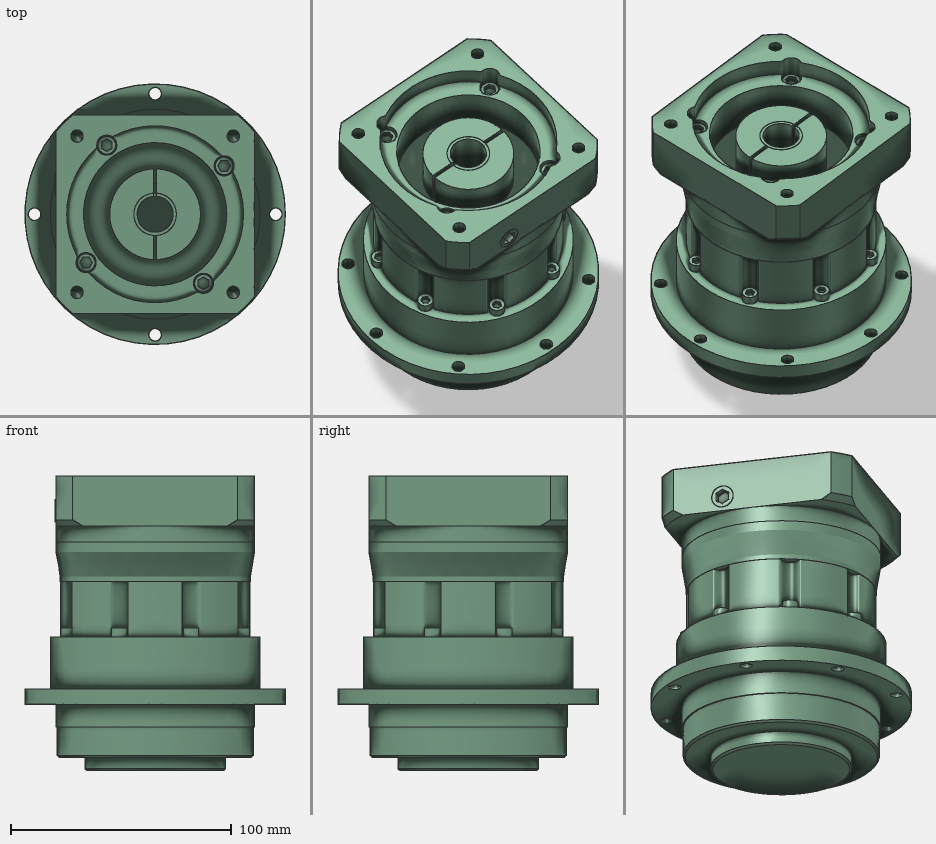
import cadquery as cq
import math

HUB_RADIUS = 31.9
HUB_HEIGHT = 6.0
NOSE_RADIUS = 44.5
NOSE_TOP = 19.8
EDGE_CHAMFER = 1.0
BODY_RADIUS = 45.0
FLANGE_RADIUS = 59.0
FLANGE_BOTTOM = 30.0
FLANGE_TOP = 37.0
FLANGE_HOLE_COUNT = 8
FLANGE_HOLE_PITCH_RADIUS = 54.6
MOUNTING_HOLE_RADIUS = 2.8

RING_RADIUS = 47.5
RING_TOP = 60.6
WAIST_RADIUS = 43.0
WAIST_TOP = 85.7
NECK_RADIUS = 43.1
NECK_TOP = 87.7
CONE_TOP = 98.9
JOINT_Z = 103.5

BOLT_COUNT = 8
BOLT_PITCH_RADIUS = 42.5
BOLT_HEAD_RADIUS = 3.5
BOLT_HEAD_HEIGHT = 4.0
BOLT_HEX_FLATS = 3.6
BOLT_HEX_DEPTH = 2.0
GROOVE_RADIUS = 4.0
GROOVE_LIP_RADIUS = 1.1

POCKET_RADIUS = 32.5
POCKET_FLOOR = 106.3
COLLAR_RADIUS = 20.5
COLLAR_TOP = 124.0
SHAFT_RADIUS = 14.0
SHAFT_SLOT_FLOOR = 108.1
SLOT_WIDTH = 1.5
BUSHING_RADIUS = 9.6
BUSHING_PROUD = 0.1
BORE_RADIUS = 8.1
BORE_DEPTH = 40.0

TOP_Z = 133.5
PLATE_BOTTOM = 110.8
CORNER_RADIUS = 58.5
CORNER_CHAMFER = 2.8
PILOT_RADIUS = 40.0
PILOT_DEPTH = 8.0
MOTOR_HOLE_COUNT = 4
FIRST_CORNER_ANGLE = 45.0
MOTOR_HOLE_OFFSET = 35.4
MOTOR_HOLE_DEPTH = 18.0
DRILL_POINT_ANGLE = 118.0
PLUG_Y = 14.0
PLUG_Z = 117.6
PLUG_RADIUS = 5.1
PLUG_PROUD = 0.3
PLUG_HEX_FLATS = 6.0
PLUG_HEX_DEPTH = 4.0

SCREW_COUNT = 4
SCREW_PITCH_RADIUS = 38.2
SCREW_ANGLE = 35.0
SCREW_HEAD_RADIUS = 4.0
SCREW_HEAD_TOP = 123.9
SCREW_HEAD_HEIGHT = 5.1
SCREW_SEAT = SCREW_HEAD_TOP - SCREW_HEAD_HEIGHT
SCREW_SHANK_RADIUS = 2.5
SCREW_TIP = 93.5
SCREW_HEX_FLATS = 5.0
SCREW_HEX_DEPTH = 2.7
COUNTERBORE_RADIUS = 4.5
NOTCH_LIP_RADIUS = 1.3


def cylinder(radius, bottom, top):
    """Upright cylinder on the Z axis between two heights."""
    return cq.Workplane("XY").workplane(offset=bottom).circle(radius).extrude(top - bottom)


def hexagon_across_corners(flats):
    """Corner-to-corner size of a hexagon with the given distance across flats."""
    return flats / math.cos(math.radians(30))


def around_axis(shape, radius, count, first_angle):
    """Copies of a shape from the Z axis, each moved out and turned with its place on a circle."""
    moved = shape.translate((radius, 0, 0))
    step = 360 / count
    return [moved.rotate((0, 0, 0), (0, 0, 1), first_angle + i * step) for i in range(count)]


def gearbox_shell():
    """Turned outside of the gearbox, from the output hub to the adapter joint."""
    hub = cylinder(HUB_RADIUS, 0, HUB_HEIGHT).faces("<Z").chamfer(EDGE_CHAMFER)
    nose = cylinder(NOSE_RADIUS, HUB_HEIGHT, NOSE_TOP).faces("<Z").chamfer(EDGE_CHAMFER)
    housing = (
        cq.Workplane("XZ")
        .moveTo(0, NOSE_TOP)
        .lineTo(BODY_RADIUS, NOSE_TOP)
        .lineTo(BODY_RADIUS, FLANGE_BOTTOM)
        .lineTo(FLANGE_RADIUS, FLANGE_BOTTOM)
        .lineTo(FLANGE_RADIUS, FLANGE_TOP)
        .lineTo(RING_RADIUS, FLANGE_TOP)
        .lineTo(RING_RADIUS, RING_TOP)
        .lineTo(WAIST_RADIUS, RING_TOP)
        .lineTo(WAIST_RADIUS, WAIST_TOP)
        .lineTo(NECK_RADIUS, WAIST_TOP)
        .lineTo(NECK_RADIUS, NECK_TOP)
        .lineTo(BODY_RADIUS, CONE_TOP)
        .lineTo(BODY_RADIUS, JOINT_Z)
        .lineTo(0, JOINT_Z)
        .close()
        .revolve(360, (0, 0, 0), (0, 1, 0))
    )
    spigot = cylinder(POCKET_RADIUS, JOINT_Z, POCKET_FLOOR)
    return hub.union(nose).union(housing).union(spigot)


def flange_holes():
    hole = cylinder(MOUNTING_HOLE_RADIUS, FLANGE_BOTTOM, FLANGE_TOP)
    return around_axis(hole, FLANGE_HOLE_PITCH_RADIUS, FLANGE_HOLE_COUNT, 0)


def rounded_notch(notch_radius, pitch_radius, wall_radius, lip_radius, side):
    """Sketch of a round notch centred on +X in a round wall, with lips rounded tangent to both.

    Side is 1 for a notch in the wall of a bore and -1 for one in the outside of a cylinder.
    """
    lip_centre_radius = wall_radius + side * lip_radius
    centre_gap = notch_radius + lip_radius
    lip_x = (lip_centre_radius**2 - centre_gap**2 + pitch_radius**2) / (2 * pitch_radius)
    lip_y = math.sqrt(lip_centre_radius**2 - lip_x**2)

    notch_share = notch_radius / centre_gap
    notch_end_x = pitch_radius + (lip_x - pitch_radius) * notch_share
    notch_end_y = lip_y * notch_share
    wall_share = wall_radius / lip_centre_radius
    wall_end_x = lip_x * wall_share
    wall_end_y = lip_y * wall_share

    to_notch = math.atan2(notch_end_y - lip_y, notch_end_x - lip_x)
    to_wall = math.atan2(wall_end_y - lip_y, wall_end_x - lip_x)
    halfway = (to_notch + to_wall) / 2
    lip_mid_x = lip_x + lip_radius * math.cos(halfway)
    lip_mid_y = lip_y + lip_radius * math.sin(halfway)
    back_x = pitch_radius + side * notch_radius
    open_x = pitch_radius - side * notch_radius
    return (
        cq.Workplane("XY")
        .moveTo(notch_end_x, -notch_end_y)
        .threePointArc((back_x, 0), (notch_end_x, notch_end_y))
        .threePointArc((lip_mid_x, lip_mid_y), (wall_end_x, wall_end_y))
        .lineTo(open_x, wall_end_y)
        .lineTo(open_x, -wall_end_y)
        .lineTo(wall_end_x, -wall_end_y)
        .threePointArc((lip_mid_x, -lip_mid_y), (notch_end_x, -notch_end_y))
        .close()
    )


def waist_grooves():
    groove = (
        rounded_notch(GROOVE_RADIUS, BOLT_PITCH_RADIUS, WAIST_RADIUS, GROOVE_LIP_RADIUS, -1)
        .extrude(WAIST_TOP - RING_TOP)
        .translate((0, 0, RING_TOP))
    )
    return around_axis(groove, 0, BOLT_COUNT, 180 / BOLT_COUNT)


def pilot_notches():
    """Access notches in the pilot wall above the screw heads."""
    notch = (
        rounded_notch(COUNTERBORE_RADIUS, SCREW_PITCH_RADIUS, PILOT_RADIUS, NOTCH_LIP_RADIUS, 1)
        .extrude(PILOT_DEPTH)
        .translate((0, 0, TOP_Z - PILOT_DEPTH))
    )
    return around_axis(notch, 0, SCREW_COUNT, SCREW_ANGLE)


def housing_bolt_head():
    return (
        cylinder(BOLT_HEAD_RADIUS, RING_TOP, RING_TOP + BOLT_HEAD_HEIGHT)
        .faces(">Z")
        .workplane()
        .polygon(6, hexagon_across_corners(BOLT_HEX_FLATS))
        .cutBlind(-BOLT_HEX_DEPTH)
    )


def clamping_hub():
    """Slotted collar on the input shaft, lined by a bushing that is slit on its +Y side only."""
    collar = cylinder(COLLAR_RADIUS, POCKET_FLOOR, COLLAR_TOP)
    shaft_slot = (
        cq.Workplane("XY")
        .workplane(offset=SHAFT_SLOT_FLOOR)
        .rect(SLOT_WIDTH, 2 * COLLAR_RADIUS)
        .extrude(COLLAR_TOP - SHAFT_SLOT_FLOOR)
    )
    rim_slot = (
        cq.Workplane("XY")
        .workplane(offset=POCKET_FLOOR)
        .rect(SLOT_WIDTH, 2 * COLLAR_RADIUS + SLOT_WIDTH)
        .extrude(COLLAR_TOP - POCKET_FLOOR)
        .cut(cylinder(SHAFT_RADIUS, POCKET_FLOOR, COLLAR_TOP))
    )
    bushing = cylinder(BUSHING_RADIUS, POCKET_FLOOR, COLLAR_TOP + BUSHING_PROUD)
    slit = (
        cq.Workplane("XY")
        .workplane(offset=SHAFT_SLOT_FLOOR)
        .center(0, BUSHING_RADIUS / 2)
        .rect(SLOT_WIDTH, BUSHING_RADIUS)
        .extrude(COLLAR_TOP + BUSHING_PROUD - SHAFT_SLOT_FLOOR)
    )
    bushing_seat = cylinder(BUSHING_RADIUS, POCKET_FLOOR, COLLAR_TOP)
    slotted_collar = collar.cut(shaft_slot).cut(rim_slot).cut(bushing_seat)
    return slotted_collar.union(bushing.cut(slit))


def make_screw():
    """Socket head screw on the Z axis."""
    head = cylinder(SCREW_HEAD_RADIUS, SCREW_SEAT, SCREW_HEAD_TOP)
    shank = cylinder(SCREW_SHANK_RADIUS, SCREW_TIP, SCREW_SEAT)
    return (
        head.union(shank)
        .faces(">Z")
        .workplane()
        .transformed(rotate=(0, 0, -SCREW_ANGLE))
        .polygon(6, hexagon_across_corners(SCREW_HEX_FLATS))
        .cutBlind(-SCREW_HEX_DEPTH)
    )


def screw_holes():
    """Shank holes through the adapter into the gearbox, with head recesses open at the top."""
    shank_hole = cylinder(SCREW_SHANK_RADIUS, SCREW_TIP, SCREW_SEAT)
    counterbore = cylinder(COUNTERBORE_RADIUS, SCREW_SEAT, TOP_Z)
    hole = shank_hole.union(counterbore)
    return around_axis(hole, SCREW_PITCH_RADIUS, SCREW_COUNT, SCREW_ANGLE)


def make_gearbox():
    body = gearbox_shell()
    for hole in flange_holes():
        body = body.cut(hole)
    for groove in waist_grooves():
        body = body.cut(groove)
    for head in around_axis(housing_bolt_head(), BOLT_PITCH_RADIUS, BOLT_COUNT, 180 / BOLT_COUNT):
        body = body.union(head)
    body = body.union(clamping_hub())
    body = body.cut(cylinder(BORE_RADIUS, COLLAR_TOP - BORE_DEPTH, COLLAR_TOP + BUSHING_PROUD))
    for hole in screw_holes():
        body = body.cut(hole)
    return body


def motor_plate():
    """Square plate whose corners are turned round and chamfered underneath."""
    square = (
        cq.Workplane("XY")
        .workplane(offset=PLATE_BOTTOM)
        .rect(2 * BODY_RADIUS, 2 * BODY_RADIUS)
        .extrude(TOP_Z - PLATE_BOTTOM)
    )
    turned = cylinder(CORNER_RADIUS, PLATE_BOTTOM, TOP_Z).faces("<Z").chamfer(CORNER_CHAMFER)
    return square.intersect(turned)


def motor_hole():
    """Blind drilled hole on the Z axis with a conical bottom."""
    hole_bottom = TOP_Z - MOTOR_HOLE_DEPTH
    half_point_angle = math.radians(DRILL_POINT_ANGLE / 2)
    point_bottom = hole_bottom - MOUNTING_HOLE_RADIUS / math.tan(half_point_angle)
    return (
        cq.Workplane("XZ")
        .moveTo(0, point_bottom)
        .lineTo(MOUNTING_HOLE_RADIUS, hole_bottom)
        .lineTo(MOUNTING_HOLE_RADIUS, TOP_Z)
        .lineTo(0, TOP_Z)
        .close()
        .revolve(360, (0, 0, 0), (0, 1, 0))
    )


def add_plug(adapter):
    """Screw plug on the -X side, slightly proud of the plate, with a hexagon socket."""
    outward = cq.Plane(
        origin=(-BODY_RADIUS, PLUG_Y, PLUG_Z),
        xDir=(0, 0, 1),
        normal=(-1, 0, 0),
    )
    disc = cq.Workplane(outward).circle(PLUG_RADIUS).extrude(PLUG_PROUD)
    socket = (
        cq.Workplane(outward)
        .workplane(offset=PLUG_PROUD)
        .polygon(6, hexagon_across_corners(PLUG_HEX_FLATS))
        .extrude(-PLUG_HEX_DEPTH)
    )
    return adapter.union(disc).cut(socket)


def make_adapter():
    body = motor_plate().union(cylinder(BODY_RADIUS, JOINT_Z, PLATE_BOTTOM))
    body = body.cut(cylinder(POCKET_RADIUS, JOINT_Z, TOP_Z))
    body = body.cut(cylinder(PILOT_RADIUS, TOP_Z - PILOT_DEPTH, TOP_Z))
    motor_hole_radius = math.hypot(MOTOR_HOLE_OFFSET, MOTOR_HOLE_OFFSET)
    for hole in around_axis(motor_hole(), motor_hole_radius, MOTOR_HOLE_COUNT, FIRST_CORNER_ANGLE):
        body = body.cut(hole)
    for hole in screw_holes():
        body = body.cut(hole)
    for notch in pilot_notches():
        body = body.cut(notch)
    return add_plug(body)


gearbox = make_gearbox()
adapter = make_adapter()
screws = around_axis(make_screw(), SCREW_PITCH_RADIUS, SCREW_COUNT, SCREW_ANGLE)

result = cq.Compound.makeCompound(
    [gearbox.val(), adapter.val(), *[screw.val() for screw in screws]]
)